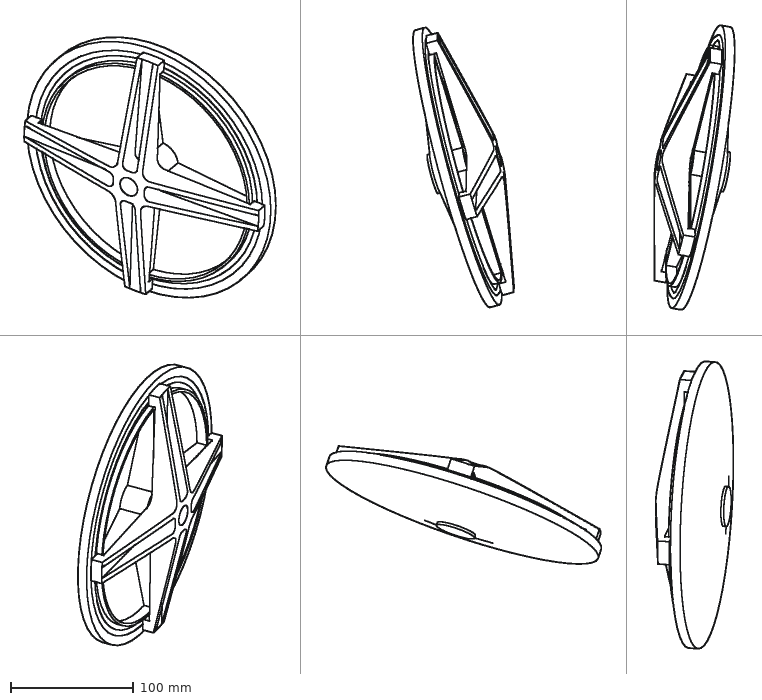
import cadquery as cq
import math


rim_radius = 117.5
rim_thickness = 8.0
cone_base_radius = 96.8
cone_height = 14.8
wall_thickness = 4.0
lip_outer_radius = 200.0 / 2
lip_inner_radius = 97.8
lip_height = 5.0
boss_radius = 16.5
rib_half_width = 2.0

ring_inner_radius = 209.0 / 2
ring_outer_radius = 219.0 / 2
ring_projection = 1.9

cap_radius = 16.5
cap_thickness = 2.4
pin_radius = 17.0 / 2
pin_edge_radius = 0.5

arm_count = 4
arm_tilt = 3.0
arm_reach = 113.0
arm_tip_half_width = 10.0
arm_root_half_width = 12.5
arm_gap = 2.8
web_thickness = 3.8
foot_inner_radius = 102.7
hub_radius = 20.2
hub_front_depth = 31.0
arm_corner_radius = 8.0
channel_wall = 5.0
channel_start = 15.0
channel_corner_radius = 5.0

overshoot = 2.4

rim_back = rim_thickness
cap_seat = rim_back + cone_height
lip_front = -lip_height
arm_back = lip_front - arm_gap
web_front = arm_back - web_thickness
hub_front = -hub_front_depth

cone_slope = cone_height / (cone_base_radius - cap_radius)
arm_taper = (arm_root_half_width - arm_tip_half_width) / arm_reach


def turned(profile):
    """Solid of revolution about Y from (radius, Y) points."""
    return cq.Workplane("XY").polyline(profile).close().revolve(360, (0, 0), (0, 1))


def disc(radius, front, back):
    """Cylinder about Y between two levels."""
    return cq.Workplane("XZ", origin=(0, back, 0)).circle(radius).extrude(back - front)


def bar(start, end, start_half, end_half, front, back):
    """Bar along +X, its half width running from one value to another."""
    outline = [(start, -start_half), (end, -end_half), (end, end_half), (start, start_half)]
    return cq.Workplane("XZ", origin=(0, back, 0)).polyline(outline).close().extrude(back - front)


def arm_bar(inset, start, front, back):
    """Bar to beyond the arm tip with its sides set in from the tapered arm sides."""
    end = arm_reach + overshoot
    start_half = arm_root_half_width - arm_taper * start - inset
    end_half = arm_root_half_width - arm_taper * end - inset
    return bar(start, end, start_half, end_half, front, back)


def rib(reach, front, back):
    """Straight rib of the dish."""
    return bar(0, reach, rib_half_width, rib_half_width, front, back)


def placed_around(shape, tilt):
    """One copy of a shape at each arm direction, turned by the tilt."""
    return [
        shape.rotate((0, 0, 0), (0, 1, 0), tilt + i * 360 / arm_count)
        for i in range(arm_count)
    ]


def make_seal_ring():
    tube_radius = (ring_outer_radius - ring_inner_radius) / 2
    middle_radius = ring_inner_radius + tube_radius
    return (
        cq.Workplane("XY")
        .center(middle_radius, tube_radius - ring_projection)
        .circle(tube_radius)
        .revolve(360, (-middle_radius, 0), (-middle_radius, 1))
    )


def make_dish():
    outside = [
        (0, cap_seat),
        (cap_radius, cap_seat),
        (cone_base_radius, rim_back),
        (rim_radius, rim_back),
        (rim_radius, 0),
        (lip_outer_radius, 0),
        (lip_outer_radius, lip_front),
        (0, lip_front),
    ]
    cavity_back = cap_seat - wall_thickness
    cavity_side = cavity_back - cone_slope * (lip_inner_radius - cap_radius)
    cavity = turned([
        (0, cavity_back),
        (cap_radius, cavity_back),
        (lip_inner_radius, cavity_side),
        (lip_inner_radius, lip_front),
        (0, lip_front),
    ])
    hollow = cavity.cut(disc(boss_radius, lip_front, cap_seat))
    for long_rib in placed_around(rib(lip_inner_radius, lip_front, cap_seat), 0):
        hollow = hollow.cut(long_rib)
    dish = turned(outside).cut(hollow)
    for root in placed_around(rib(boss_radius, arm_back, lip_front), 0):
        dish = dish.union(root)
    return dish.cut(disc(pin_radius, hub_front, cap_seat)).cut(make_seal_ring())


def make_spider():
    envelope = turned([
        (0, hub_front),
        (hub_radius, hub_front),
        (arm_reach, web_front),
        (arm_reach, -ring_projection),
        (foot_inner_radius, -ring_projection),
        (foot_inner_radius, arm_back),
        (0, arm_back),
    ])
    arms = placed_around(arm_bar(0, 0, hub_front, 0), arm_tilt)
    cross = arms[0]
    for arm in arms[1:]:
        cross = cross.union(arm)
    corner = arm_root_half_width * math.sqrt(2) + overshoot
    inner_corners = cq.selectors.BoxSelector(
        (-corner, hub_front - overshoot, -corner), (corner, overshoot, corner)
    )
    cross = cross.edges("|Y").edges(inner_corners).fillet(arm_corner_radius)
    spider = envelope.intersect(cross)
    channel = arm_bar(channel_wall, channel_start, hub_front, web_front)
    channel = channel.edges("|Y and <X").fillet(channel_corner_radius)
    for cut in placed_around(channel, arm_tilt):
        spider = spider.cut(cut)
    return spider.cut(disc(pin_radius, hub_front, cap_seat))


def make_pin():
    """Pin from the cap to the hub front, its front edge rounded."""
    return disc(pin_radius, hub_front, cap_seat).edges("<Y").fillet(pin_edge_radius)


def make_cap():
    return disc(cap_radius, cap_seat, cap_seat + cap_thickness)


dish = make_dish()
seal_ring = make_seal_ring()
spider = make_spider()
pin = make_pin()
cap = make_cap()

result = cq.Compound.makeCompound([
    *dish.solids().vals(),
    seal_ring.val(),
    *spider.solids().vals(),
    pin.val(),
    cap.val(),
])